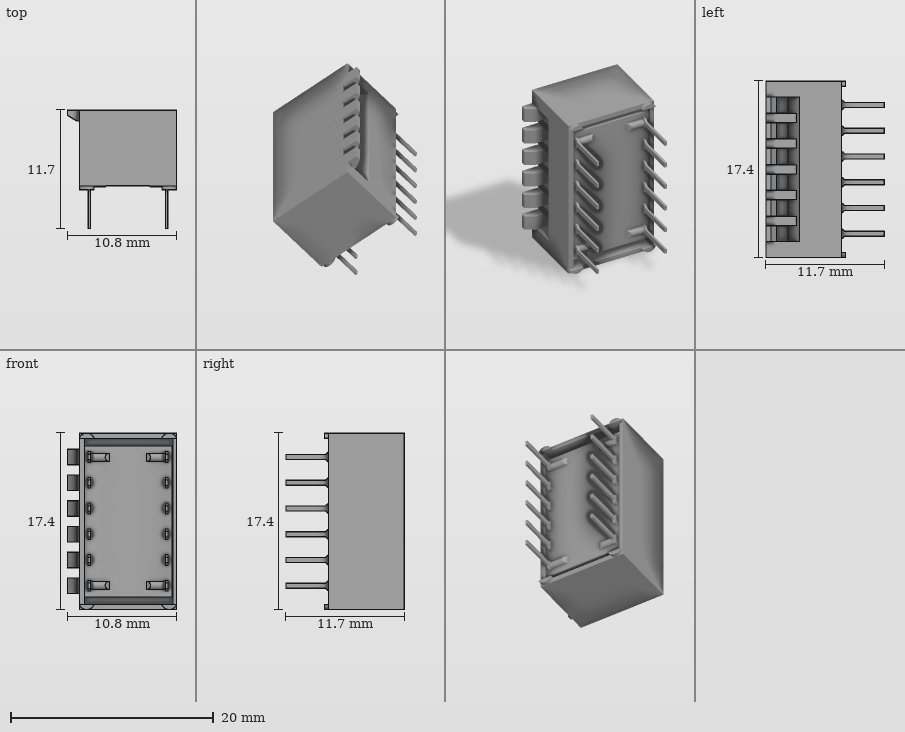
import cadquery as cq

positions = 6
pitch = 2.55
row_spacing = 7.63

housing_width = 9.62
housing_depth = 7.49
housing_height = 17.42
rim_wall = 0.52
right_wall = 0.38
cavity_depth = 1.4
foot_length = 1.46
foot_height = 0.5
foot_thickness = 0.4

pocket_depth = 2.37
pocket_mouth = 3.35
pocket_floor_width = 2.21
fin_width = 0.89
fin_inset = 0.68

lever_height = 1.55
lever_overhang = 1.17
tip_width = 0.52
shank_width = 1.08
tip_slope_end = 0.25
drum_start = 1.5
drum_radius = 2.15

base_recess = 0.31
base_end_margin = 1.25
base_side_gap = 0.065
pin_length = 4.22
pin_width = 0.5
pin_thickness = 0.25
shoulder_width = 1.05
taper_length = 0.3
rib_radius = 0.4
rib_offset = 0.03
rib_end = 2.96

left = -housing_width / 2
right = housing_width / 2
half_height = housing_height / 2
panel_y = base_recess
pocket_height = (positions - 1) * pitch + lever_height
position_heights = [(i - (positions - 1) / 2) * pitch for i in range(positions)]
fin_heights = [(i - (positions - 2) / 2) * pitch for i in range(positions - 1)]
cavity_left = left + rim_wall
cavity_right = right - right_wall


def plan_point(inward, forward):
    """Plan position measured from the back left edge of the housing."""
    return (left + inward, housing_depth - forward)


def upright_prism(outline, height, mid_z):
    """Extrude a closed plan outline along Z, centred on mid_z."""
    return outline.extrude(height / 2, both=True).translate((0, 0, mid_z))


def make_pocket():
    """Lever pocket, open to the left and the back, with a slanted front wall."""
    outline = (
        cq.Workplane("XY")
        .moveTo(*plan_point(0, 0))
        .lineTo(*plan_point(0, pocket_mouth))
        .lineTo(*plan_point(pocket_depth, pocket_floor_width))
        .lineTo(*plan_point(pocket_depth, 0))
        .close()
    )
    return upright_prism(outline, pocket_height, 0)


def make_fin(mid_z):
    """Block that, kept only inside the pocket, is a fin between two levers."""
    outline = (
        cq.Workplane("XY")
        .moveTo(*plan_point(fin_inset, 0))
        .lineTo(*plan_point(fin_inset, pocket_mouth))
        .lineTo(*plan_point(pocket_depth, pocket_mouth))
        .lineTo(*plan_point(pocket_depth, 0))
        .close()
    )
    return upright_prism(outline, fin_width, mid_z)


def make_foot(start_x, end):
    """Segment-shaped foot on the rim; end is +1 at the top and -1 at the bottom."""
    chord_z = end * (half_height - foot_height)
    return (
        cq.Workplane("XZ")
        .moveTo(start_x, chord_z)
        .threePointArc((start_x + foot_length / 2, end * half_height), (start_x + foot_length, chord_z))
        .close()
        .extrude(foot_thickness)
    )


def make_housing():
    body = cq.Workplane("XY").box(housing_width, housing_depth, housing_height)
    body = body.translate((0, housing_depth / 2, 0))
    cavity = cq.Workplane("XY").box(
        cavity_right - cavity_left, cavity_depth, housing_height - 2 * rim_wall
    )
    body = body.cut(cavity.translate(((cavity_left + cavity_right) / 2, cavity_depth / 2, 0)))

    pocket = make_pocket()
    body = body.cut(pocket)
    for mid_z in fin_heights:
        body = body.union(make_fin(mid_z).intersect(pocket))

    for start_x in (left, right - foot_length):
        for end in (-1, 1):
            body = body.union(make_foot(start_x, end))
    return body


def make_lever(mid_z):
    """Lever with a chamfered finger tip outside and a rounded drum in the pocket."""
    outline = (
        cq.Workplane("XY")
        .moveTo(*plan_point(-lever_overhang, 0))
        .lineTo(*plan_point(-lever_overhang, tip_width))
        .lineTo(*plan_point(-tip_slope_end, shank_width))
        .lineTo(*plan_point(drum_start, shank_width))
        .radiusArc(plan_point(pocket_depth, pocket_floor_width), -drum_radius)
        .lineTo(*plan_point(pocket_depth, 0))
        .close()
    )
    return upright_prism(outline, lever_height, mid_z)


def make_pin(x, z):
    """Flat pin that narrows from a wide shoulder just outside the housing rim."""
    half_shoulder = shoulder_width / 2
    half_pin = pin_width / 2
    outline = [
        (panel_y, half_shoulder),
        (0, half_shoulder),
        (-taper_length, half_pin),
        (-pin_length, half_pin),
        (-pin_length, -half_pin),
        (-taper_length, -half_pin),
        (0, -half_shoulder),
        (panel_y, -half_shoulder),
    ]
    pin = cq.Workplane("YZ").polyline(outline).close().extrude(pin_thickness / 2, both=True)
    return pin.translate((x, 0, z))


def make_rib(side, z):
    """Half-round rib from a pin toward the middle, its inner end cut at 45 degrees."""
    outer_x = row_spacing / 2
    inner_x = housing_width / 2 - rib_end
    outline = [
        (outer_x, panel_y),
        (inner_x, panel_y),
        (inner_x + rib_radius, panel_y - rib_radius),
        (outer_x, panel_y - rib_radius),
    ]
    profile = cq.Workplane("XY").polyline(outline).close().extrude(rib_radius, both=True)
    rod = cq.Workplane("YZ").center(panel_y, 0).circle(rib_radius).extrude(outer_x)
    rib = rod.intersect(profile)
    if side < 0:
        rib = rib.mirror("YZ")
    return rib.translate((0, 0, z))


def make_base():
    width = cavity_right - base_side_gap - cavity_left
    thickness = cavity_depth - base_recess
    panel = cq.Workplane("XY").box(width, thickness, housing_height - 2 * base_end_margin)
    body = panel.translate((cavity_left + width / 2, base_recess + thickness / 2, 0))
    for side in (-1, 1):
        for z in position_heights:
            body = body.union(make_pin(side * row_spacing / 2, z))
        for rib_z in (position_heights[0] + rib_offset, position_heights[-1] - rib_offset):
            body = body.union(make_rib(side, rib_z))
    return body


housing = make_housing()
base = make_base()
levers = [make_lever(mid_z) for mid_z in position_heights]

result = cq.Compound.makeCompound([housing.val(), base.val(), *[lever.val() for lever in levers]])